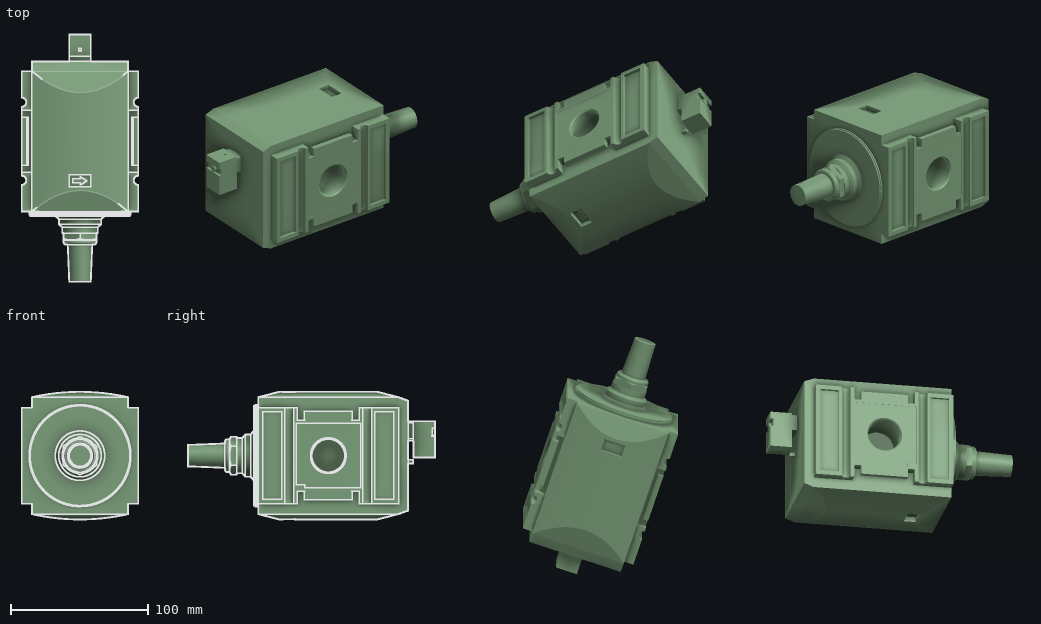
import cadquery as cq
import math


CORE_WIDTH = 70.1
CORE_LENGTH = 102.5
CORE_HEIGHT = 85.3
CROWN_HEIGHT = 93.2
CROWN_LENGTH = 71.4
COVER_THICKNESS = 7.0
COVER_END_HEIGHT = 80.0

PAD_SPAN = 85.0
PAD_HEIGHT = 70.1
PAD_THICKNESS = (PAD_SPAN - CORE_WIDTH) / 2

GROOVE_RADIUS = 3.2
GROOVE_Y = 28.5

STEP_LENGTH = 45.0
STEP_Z = 25.8
LIP_LENGTH = 34.8
LIP_Z = 32.3
LIP_TOP_THICKNESS = 3.8
LIP_ROOT_THICKNESS = 4.9

POCKET_WIDTH = 13.9
POCKET_HEIGHT = 63.6
POCKET_DEPTH = 2.3
POCKET_Y = 41.0

PANEL_SIZE = 47.0
PANEL_DEPTH = 0.2
PANEL_NOTCH_WIDTH = 6.3
PANEL_NOTCH_HEIGHT = 2.2

PORT_DIAMETER = 24.2
PORT_CHAMFER = 0.9
PORT_DEPTH = 27.0

LABEL_WIDTH = 15.9
LABEL_LENGTH = 8.8
LABEL_Y = -28.8
ARROW_TAIL_X = -5.4
ARROW_NECK_X = 0.4
ARROW_TIP_X = 5.0
ARROW_SHAFT_HALF = 1.5
ARROW_HEAD_HALF = 2.9
ARROW_RISE = 0.5

SEAT_WIDTH = 15.9
SEAT_LENGTH = 3.8
SEAT_SIDE_HEIGHT = 11.5
SEAT_BULGE = 1.5
SEAT_TOP_Z = 25.2

TAB_WIDTH = 2.9
TAB_HEIGHT = 2.9
TAB_TOP_Z = -2.9
TAB_CHAMFER = 0.7

SPIGOT_DIAMETER = 60.0
DISC_DIAMETER = 74.3
DISC_STEP_DIAMETER = 72.8
PLATE_THICKNESS = 1.0
FOOT_DIAMETER = 36.0
RING_DIAMETER = 31.0
NECK_DIAMETER = 26.0
HEX_ACROSS_FLATS = 24.2
COLLAR_DIAMETER = 24.2
COLLAR_FACE_DIAMETER = 21.0
CONE_ROOT_DIAMETER = 18.0
CONE_TIP_DIAMETER = 15.9
FOOT_LENGTH = 2.2
RING_LENGTH = 3.8
RING_TAPER_LENGTH = 2.2
NECK_LENGTH = 4.3
HEX_LENGTH = 5.0
HEX_CHAMFER = 0.9
COLLAR_LENGTH = 1.0
COLLAR_ROUND_LENGTH = 2.3
TOTAL_LENGTH = 180.3

BOX_WIDTH = SEAT_WIDTH
BOX_LENGTH = 15.9
BOX_HEIGHT = 26.7
BOX_TOP_Z = SEAT_TOP_Z
SCREW_DIAMETER = 5.2
SCREW_Z = 17.1
SLOT_HEIGHT = 5.5
SLOT_DEPTH = 2.2
PIN_HOLE_DIAMETER = 2.2
PIN_HOLE_DEPTH = 3.6
PIN_HOLE_Y_OFFSET = 4.9

FRONT_Y = -CORE_LENGTH / 2
BACK_Y = CORE_LENGTH / 2
COVER_Y = BACK_Y + COVER_THICKNESS
BOX_Y = COVER_Y + SEAT_LENGTH
TIP_Y = BOX_Y + BOX_LENGTH - TOTAL_LENGTH


def box(x_size, y_size, z_size, center):
    return cq.Workplane("XY").box(x_size, y_size, z_size).translate(center)


def crowned_core():
    """Block with a crowned top and bottom, cut down by sloping end planes."""
    half_width = CORE_WIDTH / 2
    edge_z = CORE_HEIGHT / 2
    crown_z = CROWN_HEIGHT / 2
    crowned = (
        cq.Workplane("XZ", origin=(0, COVER_Y, 0))
        .moveTo(-half_width, -edge_z)
        .threePointArc((0, -crown_z), (half_width, -edge_z))
        .lineTo(half_width, edge_z)
        .threePointArc((0, crown_z), (-half_width, edge_z))
        .close()
        .extrude(COVER_Y - FRONT_Y)
    )
    crown_y = CROWN_LENGTH / 2
    end_z = COVER_END_HEIGHT / 2
    upper_outline = [
        (FRONT_Y, edge_z),
        (-crown_y, crown_z),
        (crown_y, crown_z),
        (BACK_Y, edge_z),
        (COVER_Y, end_z),
    ]
    lower_outline = [(y, -z) for y, z in reversed(upper_outline)]
    side_profile = (
        cq.Workplane("YZ")
        .polyline(upper_outline + lower_outline)
        .close()
        .extrude(half_width, both=True)
    )
    return crowned.intersect(side_profile)


def pad_lip():
    """Lip with an upright outer face and a sloping inner face, on the +X pad."""
    outer_x = PAD_SPAN / 2
    return (
        cq.Workplane("XZ", origin=(0, LIP_LENGTH / 2, 0))
        .polyline([
            (outer_x, STEP_Z),
            (outer_x, LIP_Z),
            (outer_x - LIP_TOP_THICKNESS, LIP_Z),
            (outer_x - LIP_ROOT_THICKNESS, STEP_Z),
        ])
        .close()
        .extrude(LIP_LENGTH)
    )


def side_pad():
    """The pad on the +X side, with its lips, grooves and pockets."""
    outer_x = PAD_SPAN / 2
    pad_x = outer_x - PAD_THICKNESS / 2
    pad = box(PAD_THICKNESS, CORE_LENGTH, PAD_HEIGHT, (pad_x, 0, 0))

    step_height = PAD_HEIGHT / 2 - STEP_Z
    step_z = STEP_Z + step_height / 2
    lip = pad_lip()
    for side in (1, -1):
        pad = pad.cut(box(PAD_THICKNESS, STEP_LENGTH, step_height, (pad_x, 0, side * step_z)))
    pad = pad.union(lip).union(lip.mirror("XY"))

    groove = cq.Workplane("XY").circle(GROOVE_RADIUS).extrude(PAD_HEIGHT / 2, both=True)
    for side in (1, -1):
        pad = pad.cut(groove.translate((outer_x, side * GROOVE_Y, 0)))
        pocket_center = (outer_x - POCKET_DEPTH / 2, side * POCKET_Y, 0)
        pad = pad.cut(box(POCKET_DEPTH, POCKET_WIDTH, POCKET_HEIGHT, pocket_center))
    return pad


def port_cut():
    """Panel recess and chamfered blind port on the +X side."""
    panel_x = PAD_SPAN / 2 - PANEL_DEPTH
    panel = box(PANEL_DEPTH, PANEL_SIZE, PANEL_SIZE, (panel_x + PANEL_DEPTH / 2, 0, 0))
    notch_center = (
        panel_x + PANEL_DEPTH / 2,
        -(PANEL_SIZE - PANEL_NOTCH_WIDTH) / 2,
        -(PANEL_SIZE - PANEL_NOTCH_HEIGHT) / 2,
    )
    panel = panel.cut(box(PANEL_DEPTH, PANEL_NOTCH_WIDTH, PANEL_NOTCH_HEIGHT, notch_center))

    radius = PORT_DIAMETER / 2
    bore = (
        cq.Workplane("XY")
        .polyline([
            (panel_x, 0),
            (panel_x, radius + PORT_CHAMFER),
            (panel_x - PORT_CHAMFER, radius),
            (panel_x - PORT_DEPTH, radius),
            (panel_x - PORT_DEPTH, 0),
        ])
        .close()
        .revolve(360, (0, 0, 0), (1, 0, 0))
    )
    return panel.union(bore)


def label_window_cut():
    """Sunk window in the top crown that leaves a raised arrow toward +X."""
    floor_z = CORE_HEIGHT / 2
    depth = (CROWN_HEIGHT - CORE_HEIGHT) / 2
    window = box(LABEL_WIDTH, LABEL_LENGTH, depth, (0, LABEL_Y, floor_z + depth / 2))
    upper_side = [
        (ARROW_TAIL_X, ARROW_SHAFT_HALF),
        (ARROW_NECK_X, ARROW_SHAFT_HALF),
        (ARROW_NECK_X, ARROW_HEAD_HALF),
        (ARROW_TIP_X, 0),
    ]
    lower_side = [(x, -y) for x, y in reversed(upper_side[:-1])]
    arrow = (
        cq.Workplane("XY", origin=(0, LABEL_Y, floor_z))
        .polyline(upper_side + lower_side)
        .close()
        .extrude(ARROW_RISE)
    )
    return window.cut(arrow)


def connector_seat():
    """Straight-sided boss with arched top and bottom on the rear cover."""
    half_width = SEAT_WIDTH / 2
    upper_z = SEAT_TOP_Z - SEAT_BULGE
    lower_z = upper_z - SEAT_SIDE_HEIGHT
    return (
        cq.Workplane("XZ", origin=(0, BOX_Y, 0))
        .moveTo(-half_width, lower_z)
        .threePointArc((0, lower_z - SEAT_BULGE), (half_width, lower_z))
        .lineTo(half_width, upper_z)
        .threePointArc((0, SEAT_TOP_Z), (-half_width, upper_z))
        .close()
        .extrude(SEAT_LENGTH)
    )


def rear_tab():
    """Tab on the rear cover, as long as the connector seat."""
    tab_center = (0, COVER_Y + SEAT_LENGTH / 2, TAB_TOP_Z - TAB_HEIGHT / 2)
    tab = box(TAB_WIDTH, SEAT_LENGTH, TAB_HEIGHT, tab_center)
    return tab.faces(">Y").edges(">Z").chamfer(TAB_CHAMFER)


def make_housing():
    pad = side_pad()
    port = port_cut()
    window = label_window_cut()
    return (
        crowned_core()
        .union(pad)
        .union(pad.mirror("YZ"))
        .cut(port)
        .cut(port.mirror("YZ"))
        .cut(window)
        .cut(window.mirror("XY"))
        .union(connector_seat())
        .union(rear_tab())
    )


def hex_nut(start_y):
    """Hexagon with corners at +Z and -Z, its front corners turned off."""
    corner_radius = HEX_ACROSS_FLATS / math.sqrt(3)
    nut = (
        cq.Workplane("XZ", origin=(0, start_y, 0))
        .polygon(6, 2 * corner_radius)
        .extrude(HEX_LENGTH)
        .rotate((0, 0, 0), (0, 1, 0), 90)
    )
    end_y = start_y - HEX_LENGTH
    turned_blank = (
        cq.Workplane("XY")
        .polyline([
            (0, start_y),
            (corner_radius, start_y),
            (corner_radius, end_y + HEX_CHAMFER),
            (HEX_ACROSS_FLATS / 2, end_y),
            (0, end_y),
        ])
        .close()
        .revolve(360, (0, 0, 0), (0, 1, 0))
    )
    return nut.intersect(turned_blank)


def make_silencer():
    """Flange disc, stepped neck, hexagon, collar and tapered tube on one axis."""
    spigot_y = FRONT_Y - PLATE_THICKNESS
    disc_y = spigot_y - PLATE_THICKNESS
    flange_y = disc_y - PLATE_THICKNESS
    foot_y = flange_y - FOOT_LENGTH
    ring_y = foot_y - RING_LENGTH
    taper_y = ring_y - RING_TAPER_LENGTH
    neck_y = taper_y - NECK_LENGTH
    hex_y = neck_y - HEX_LENGTH
    collar_y = hex_y - COLLAR_LENGTH
    face_y = collar_y - COLLAR_ROUND_LENGTH

    collar_radius = COLLAR_DIAMETER / 2
    face_radius = COLLAR_FACE_DIAMETER / 2
    round_mid = (
        face_radius + (collar_radius - face_radius) * math.cos(math.pi / 4),
        collar_y - COLLAR_ROUND_LENGTH * math.sin(math.pi / 4),
    )
    turned = (
        cq.Workplane("XY")
        .moveTo(0, FRONT_Y)
        .lineTo(SPIGOT_DIAMETER / 2, FRONT_Y)
        .lineTo(SPIGOT_DIAMETER / 2, spigot_y)
        .lineTo(DISC_DIAMETER / 2, spigot_y)
        .lineTo(DISC_DIAMETER / 2, disc_y)
        .lineTo(DISC_STEP_DIAMETER / 2, disc_y)
        .lineTo(DISC_STEP_DIAMETER / 2, flange_y)
        .lineTo(FOOT_DIAMETER / 2, flange_y)
        .lineTo(RING_DIAMETER / 2, foot_y)
        .lineTo(RING_DIAMETER / 2, ring_y)
        .lineTo(NECK_DIAMETER / 2, taper_y)
        .lineTo(NECK_DIAMETER / 2, neck_y)
        .lineTo(collar_radius, neck_y)
        .lineTo(collar_radius, collar_y)
        .threePointArc(round_mid, (face_radius, face_y))
        .lineTo(CONE_ROOT_DIAMETER / 2, face_y)
        .lineTo(CONE_TIP_DIAMETER / 2, TIP_Y)
        .lineTo(0, TIP_Y)
        .close()
        .revolve(360, (0, 0, 0), (0, 1, 0))
    )
    return turned.union(hex_nut(neck_y))


def make_connector():
    end_y = BOX_Y + BOX_LENGTH
    block = box(
        BOX_WIDTH, BOX_LENGTH, BOX_HEIGHT, (0, BOX_Y + BOX_LENGTH / 2, BOX_TOP_Z - BOX_HEIGHT / 2)
    )
    slot = box(BOX_WIDTH, SLOT_DEPTH, SLOT_HEIGHT, (0, end_y - SLOT_DEPTH / 2, SCREW_Z))
    screw_head = (
        cq.Workplane("XZ", origin=(0, end_y, SCREW_Z)).circle(SCREW_DIAMETER / 2).extrude(SLOT_DEPTH)
    )
    pin_hole = (
        cq.Workplane("XY", origin=(0, BOX_Y + PIN_HOLE_Y_OFFSET, BOX_TOP_Z))
        .circle(PIN_HOLE_DIAMETER / 2)
        .extrude(-PIN_HOLE_DEPTH)
    )
    return block.cut(slot).union(screw_head).cut(pin_hole)


housing = make_housing()
silencer = make_silencer()
connector = make_connector()

result = cq.Compound.makeCompound([
    housing.solids().val(),
    silencer.solids().val(),
    connector.solids().val(),
])